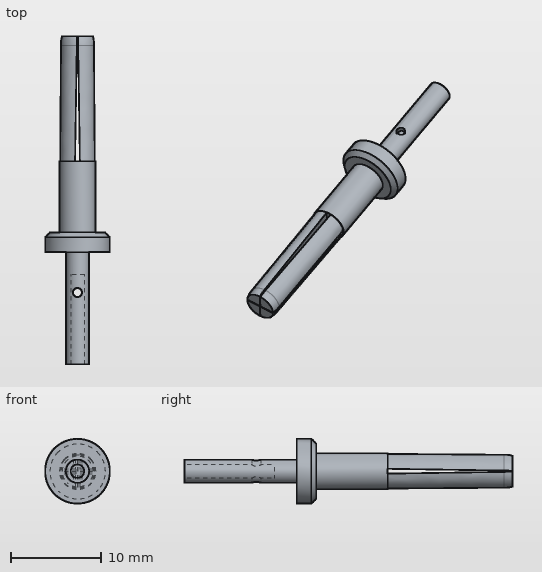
import cadquery as cq

total_length = 36.45
tail_length = 12.45
flange_thickness = 2.2
body_end = 22.55
nose_length = 1.02
flange_end = tail_length + flange_thickness
nose_start = total_length - nose_length

tail_radius = 2.6 / 2
flange_radius = 7.2 / 2
body_radius = 4.0 / 2
prong_root_radius = 3.9 / 2
prong_tip_radius = 3.68 / 2
nose_end_radius = 3.43 / 2
nose_bulge = 0.055
flange_chamfer = 0.55

cup_diameter = 1.5
cup_depth = 10.0
inspection_hole_diameter = 1.0
inspection_hole_y = 8.0

slot_root_width = 0.5
slot_tip_width = 0.09


def turned_blank():
    """Solid of revolution about Y: tail, flange, body and tapered prongs."""
    nose_middle = (
        (prong_tip_radius + nose_end_radius) / 2 + nose_bulge,
        (nose_start + total_length) / 2,
    )
    profile = (
        cq.Workplane("XY")
        .lineTo(tail_radius, 0)
        .lineTo(tail_radius, tail_length)
        .lineTo(flange_radius, tail_length)
        .lineTo(flange_radius, flange_end - flange_chamfer)
        .lineTo(flange_radius - flange_chamfer, flange_end)
        .lineTo(body_radius, flange_end)
        .lineTo(body_radius, body_end)
        .lineTo(prong_root_radius, body_end)
        .lineTo(prong_tip_radius, nose_start)
        .threePointArc(nose_middle, (nose_end_radius, total_length))
        .lineTo(0, total_length)
        .close()
    )
    return profile.revolve(360, (0, 0, 0), (0, 1, 0))


def wire_cup():
    """Blind bore on the Y axis, open at the tail end."""
    plane = cq.Plane(origin=(0, 0, 0), xDir=(1, 0, 0), normal=(0, 1, 0))
    return cq.Workplane(plane).circle(cup_diameter / 2).extrude(cup_depth)


def inspection_hole():
    """Hole along Z, right through the tail."""
    return (
        cq.Workplane("XY")
        .center(0, inspection_hole_y)
        .circle(inspection_hole_diameter / 2)
        .extrude(tail_radius * 2, both=True)
    )


def prong_slot(angle):
    """Tapered slot across the whole diameter, turned by angle about Y."""
    return (
        cq.Workplane("XY")
        .polyline([
            (-slot_root_width / 2, body_end),
            (slot_root_width / 2, body_end),
            (slot_tip_width / 2, total_length),
            (-slot_tip_width / 2, total_length),
        ])
        .close()
        .extrude(body_radius * 2, both=True)
        .rotate((0, 0, 0), (0, 1, 0), angle)
    )


result = (
    turned_blank()
    .cut(wire_cup())
    .cut(inspection_hole())
)
for slot_angle in (0, 90):
    result = result.cut(prong_slot(slot_angle))